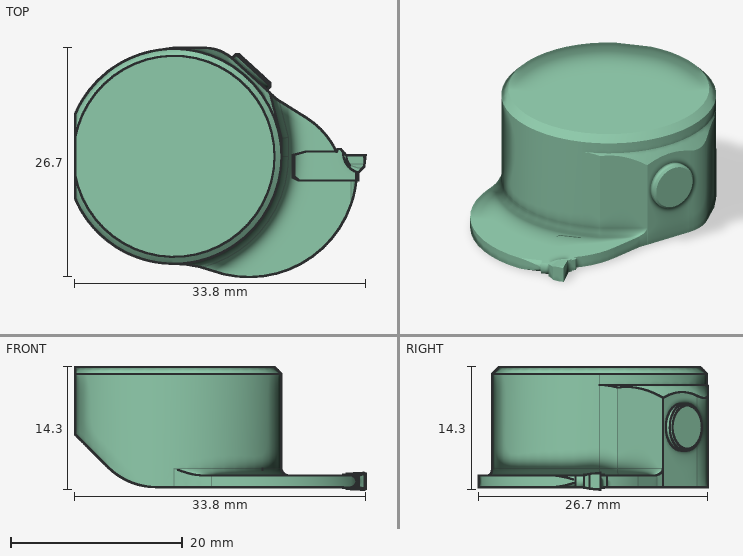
import cadquery as cq
import math


housing_radius = 12.5
housing_height = 14.0
rim_chamfer = 0.8
flat_x = -11.5
heel_height = 6.15
heel_round = 8.0

plate_thickness = 1.4
plate_fillet = 0.8
lobe_centre = (8.72, -1.5)
lobe_radius = 12.57
shoulder_centre = (10.45, -3.45)
shoulder_radius = 9.35
shoulder_angle = 58.0
nose_start_x = 20.62
nose_end_x = 21.23

boss_angle = 47.4
boss_reach = 12.98
boss_side_y = 12.65
boss_blend_angle = 97.6
boss_corner_radius = 5.0
boss_wall_top = (11.15, 7.4)
boss_wall_foot_y = 2.1
boss_rim_height = 11.9
boss_top_slope = 1.7
cap_diameter = 5.5
cap_projection = 0.88
cap_chamfer = 0.25
cap_height = housing_height / 2

mid_z = plate_thickness / 2
pocket_end_x = 13.8
pocket_upper_y = 0.55
pocket_lower_y = -2.8
pocket_taper_x = 15.3
pocket_taper_y = 0.15
pocket_corner_x = 14.55
pocket_corner_y = -2.45
insert_corner_y = -2.23
end_bevel = 0.2
insert_front_x = 21.45
insert_front_edge_x = 21.2
tip_x = 22.3
rake_y = 0.15
head_overhang = 0.3
head_taper = 0.1
head_arc = [(20.25, -0.7), (20.82, -1.42)]
head_foot = [(21.2, -1.83), (21.53, -1.83)]
flank_corner = (22.15, -1.18)
head_relief = [(-0.9, 0.1), (-1.35, 0.17)]
hump = [(18.93, pocket_upper_y), (19.03, 0.88), (19.37, 0.88)]
rim_start = (19.67, 0.5)
rim_arc_middle = (20.08, -0.9)
rim_front = (21.9, -1.42)
rake_back = (20.05, rake_y)
front_bevel_length = 0.25
front_bevel_depth = 0.1
rim_overhang = 0.1


def on_circle(centre, radius, degrees):
    angle = math.radians(degrees)
    return (centre[0] + radius * math.cos(angle), centre[1] + radius * math.sin(angle))


def boss_corner():
    """Start, middle and end of the arc between the boss side and the boss flat."""
    turn = math.radians(90 - boss_angle)
    setback = boss_corner_radius * math.tan(turn / 2)
    angle = math.radians(boss_angle)
    corner_x = (boss_reach - boss_side_y * math.sin(angle)) / math.cos(angle)
    centre = (corner_x - setback, boss_side_y - boss_corner_radius)
    return [on_circle(centre, boss_corner_radius, a) for a in (90, (90 + boss_angle) / 2, boss_angle)]


def start_at_boss_blend():
    """Outline from the housing circle along the boss side and around its corner."""
    corner_start, corner_mid, corner_end = boss_corner()
    return (
        cq.Workplane("XY")
        .moveTo(*on_circle((0, 0), housing_radius, boss_blend_angle))
        .lineTo(0, boss_side_y)
        .lineTo(*corner_start)
        .threePointArc(corner_mid, corner_end)
    )


def footprint():
    """Housing circle together with the boss, before the flat is cut."""
    far_side = on_circle((0, 0), housing_radius, boss_blend_angle / 2 + 180)
    return (
        start_at_boss_blend()
        .lineTo(*boss_wall_top)
        .lineTo(housing_radius, boss_wall_foot_y)
        .lineTo(housing_radius, 0)
        .threePointArc(far_side, on_circle((0, 0), housing_radius, boss_blend_angle))
        .close()
    )


def plate_outline():
    """Outline of the whole holder at plate level."""
    flank_end = on_circle(shoulder_centre, shoulder_radius, shoulder_angle)
    normal = math.radians(shoulder_angle)
    flat_normal = math.radians(boss_angle)
    flank_reach = flank_end[0] * math.cos(normal) + flank_end[1] * math.sin(normal)
    spread = math.sin(flat_normal - normal)
    flank_start = (
        (flank_reach * math.sin(flat_normal) - boss_reach * math.sin(normal)) / spread,
        (boss_reach * math.cos(normal) - flank_reach * math.cos(flat_normal)) / spread,
    )

    pocket_mid_y = (pocket_upper_y + pocket_lower_y) / 2
    shoulder_end = math.degrees(math.asin((pocket_mid_y - shoulder_centre[1]) / shoulder_radius))
    lobe_start = math.degrees(math.asin((pocket_mid_y - lobe_centre[1]) / lobe_radius))

    rise = lobe_centre[1] + housing_radius
    hollow_radius = (lobe_centre[0] ** 2 + rise**2 - lobe_radius**2) / (2 * (lobe_radius - rise))
    hollow_centre = (0, -housing_radius - hollow_radius)
    join = math.degrees(math.atan2(lobe_centre[1] - hollow_centre[1], lobe_centre[0]))
    lobe_end = join - 180

    return (
        start_at_boss_blend()
        .lineTo(*flank_start)
        .lineTo(*flank_end)
        .threePointArc(
            on_circle(shoulder_centre, shoulder_radius, (shoulder_angle + shoulder_end) / 2),
            on_circle(shoulder_centre, shoulder_radius, shoulder_end),
        )
        .lineTo(*on_circle(lobe_centre, lobe_radius, lobe_start))
        .threePointArc(
            on_circle(lobe_centre, lobe_radius, (lobe_start + lobe_end) / 2),
            on_circle(lobe_centre, lobe_radius, lobe_end),
        )
        .threePointArc(
            on_circle(hollow_centre, hollow_radius, (join + 90) / 2),
            (0, -housing_radius),
        )
        .threePointArc((-housing_radius, 0), on_circle((0, 0), housing_radius, boss_blend_angle))
        .close()
    )


def rounded_edge_envelope():
    """Everything inboard of the rounded outer edge of the plate."""
    span = 2 * housing_radius + lobe_radius
    fillet_limit_x = housing_radius + 2 * plate_fillet
    return (
        cq.Workplane("XZ")
        .moveTo(-span, 0)
        .lineTo(nose_start_x, 0)
        .threePointArc((nose_end_x, mid_z), (nose_start_x, plate_thickness))
        .lineTo(fillet_limit_x, plate_thickness)
        .lineTo(fillet_limit_x, housing_height)
        .lineTo(-span, housing_height)
        .close()
        .extrude(span, both=True)
    )


def filleted_plate():
    """Plate with a fillet up to the housing and boss walls."""
    span = 4 * housing_radius
    slab = cq.Workplane("XY").box(span, span, plate_thickness, centered=(True, True, False))
    stem = footprint().extrude(plate_thickness + 2 * plate_fillet)
    foot_edges = cq.selectors.BoxSelector(
        (-span / 3, -span / 3, plate_thickness - plate_fillet / 2),
        (span / 3, span / 3, plate_thickness + plate_fillet / 2),
    )
    blended = slab.union(stem).edges(foot_edges).fillet(plate_fillet)
    trimmed = blended.intersect(plate_outline().extrude(housing_height))
    return trimmed.intersect(rounded_edge_envelope())


def boss():
    """Side boss under a conical top."""
    outer_radius = boss_reach + cap_projection
    drop = boss_top_slope * (outer_radius - housing_radius)
    cone = (
        cq.Workplane("XZ")
        .lineTo(outer_radius, 0)
        .lineTo(outer_radius, boss_rim_height - drop)
        .lineTo(housing_radius, boss_rim_height)
        .lineTo(0, boss_rim_height)
        .close()
        .revolve(360, (0, 0), (0, 1))
    )
    return footprint().extrude(housing_height).intersect(cone)


def cap():
    """Round cap on the boss flat, its axis crossing the housing axis."""
    angle = math.radians(boss_angle)
    plane = cq.Plane(
        origin=(0, 0, cap_height),
        xDir=(0, 0, 1),
        normal=(math.cos(angle), math.sin(angle), 0),
    )
    cap_face = boss_reach + cap_projection
    return (
        cq.Workplane(plane)
        .circle(cap_diameter / 2)
        .extrude(cap_face)
        .faces(cq.selectors.DirectionMinMaxSelector(plane.zDir, True))
        .chamfer(cap_chamfer)
    )


def heel_cut():
    """Removes the flat and the rounded 45 degree heel on the -X side."""
    span = 2 * housing_radius
    setback = heel_round * math.tan(math.radians(22.5))
    toe_x = flat_x + heel_height
    arc_centre = (toe_x + setback, heel_round)
    return (
        cq.Workplane("XZ")
        .moveTo(flat_x, span)
        .lineTo(flat_x, heel_height)
        .lineTo(*on_circle(arc_centre, heel_round, -135))
        .threePointArc(
            on_circle(arc_centre, heel_round, -112.5),
            on_circle(arc_centre, heel_round, -90),
        )
        .lineTo(arc_centre[0], -heel_round)
        .lineTo(-span, -heel_round)
        .lineTo(-span, span)
        .close()
        .extrude(span, both=True)
    )


def insert_pocket():
    """Slot through the plate, open at the outer edge."""
    return (
        cq.Workplane("XY")
        .moveTo(pocket_end_x, pocket_taper_y)
        .lineTo(pocket_taper_x, pocket_upper_y)
        .lineTo(tip_x, pocket_upper_y)
        .lineTo(tip_x, pocket_lower_y)
        .lineTo(pocket_corner_x, pocket_lower_y)
        .lineTo(pocket_end_x, pocket_corner_y)
        .close()
        .extrude(plate_thickness)
    )


def make_holder():
    cylinder = (
        cq.Workplane("XY")
        .circle(housing_radius)
        .extrude(housing_height)
        .faces(">Z")
        .chamfer(rim_chamfer)
    )
    body = cylinder.union(boss()).union(cap()).union(filleted_plate())
    return body.cut(heel_cut()).cut(insert_pocket())


def insert_shank():
    """Blade as thick as the plate, with the chip hump beside the rake face."""
    blade = (
        cq.Workplane("XY")
        .moveTo(pocket_end_x, pocket_taper_y)
        .lineTo(pocket_taper_x, pocket_upper_y)
        .polyline(hump, includeCurrent=True)
        .lineTo(*rake_back)
        .lineTo(insert_front_x, rake_y)
        .lineTo(insert_front_x, pocket_lower_y)
        .lineTo(pocket_corner_x, pocket_lower_y)
        .lineTo(pocket_end_x, insert_corner_y)
        .close()
        .extrude(plate_thickness)
    )
    round_front = (
        cq.Workplane("XZ")
        .lineTo(insert_front_edge_x, 0)
        .threePointArc((insert_front_x, mid_z), (insert_front_edge_x, plate_thickness))
        .lineTo(0, plate_thickness)
        .close()
        .extrude(housing_radius, both=True)
    )
    return blade.faces("<X").edges("|Y").chamfer(end_bevel).intersect(round_front)


def insert_rim():
    """Low step around the back of the cutting head."""
    return (
        cq.Workplane("XY", origin=(0, 0, -rim_overhang))
        .moveTo(*rim_start)
        .threePointArc(rim_arc_middle, head_foot[0])
        .lineTo(*head_foot[1])
        .lineTo(*rim_front)
        .lineTo(rim_front[0], rake_y)
        .lineTo(*rake_back)
        .close()
        .extrude(plate_thickness + 2 * rim_overhang)
    )


def head_section(overhang):
    """Section of the head in Y and Z about its middle plane, narrowing away from the rake face."""
    half_widths = [
        (rake_y, mid_z + overhang),
        *[(y, mid_z + overhang - loss) for y, loss in head_relief],
        (head_foot[0][1], mid_z),
    ]
    mirrored = [(y, -half_width) for y, half_width in reversed(half_widths)]
    return half_widths + mirrored


def insert_head():
    """Cutting head: widest at the rake face and relieved behind it."""
    outline = (
        cq.Workplane("XY", origin=(0, 0, -plate_thickness))
        .moveTo(*rake_back)
        .threePointArc(*head_arc)
        .polyline(head_foot, includeCurrent=True)
        .lineTo(*flank_corner)
        .lineTo(tip_x, rake_y)
        .close()
        .extrude(3 * plate_thickness)
    )
    front_x = tip_x - front_bevel_length
    bevelled_half_width = mid_z + head_overhang - front_bevel_depth
    bevels = (
        cq.Workplane("XZ", origin=(0, 0, mid_z))
        .moveTo(0, mid_z + head_overhang)
        .lineTo(front_x, mid_z + head_overhang)
        .lineTo(tip_x, bevelled_half_width)
        .lineTo(tip_x, -bevelled_half_width)
        .lineTo(front_x, -mid_z - head_overhang)
        .lineTo(0, -mid_z - head_overhang)
        .close()
        .extrude(housing_radius, both=True)
    )
    back_section = head_section(head_overhang - head_taper)
    front_section = head_section(head_overhang)
    relief = (
        cq.Workplane("YZ", origin=(rake_back[0], 0, mid_z))
        .polyline(back_section)
        .close()
        .workplane(offset=front_x - rake_back[0])
        .polyline(front_section)
        .close()
        .workplane(offset=front_bevel_length)
        .polyline(front_section)
        .close()
        .loft(ruled=True)
    )
    return outline.intersect(relief).intersect(bevels)


def make_insert():
    return insert_shank().union(insert_rim()).union(insert_head())


holder = make_holder()
insert = make_insert()

result = cq.Compound.makeCompound([holder.val(), insert.val()])